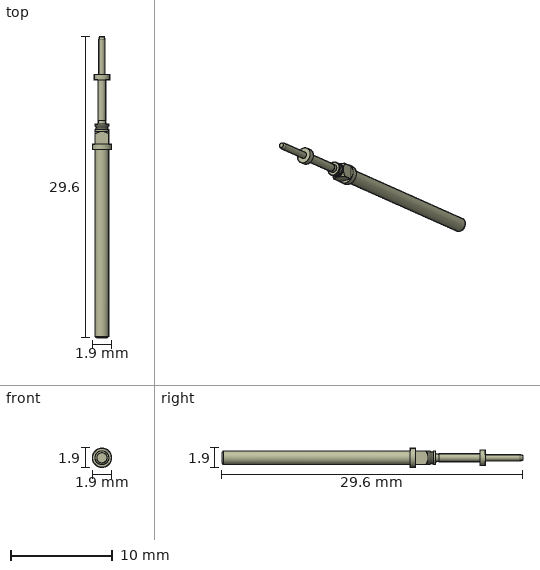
import cadquery as cq

TIP_DIAMETER = 0.64
COLLAR_DIAMETER = 1.55
SHANK_DIAMETER = 0.8
NECK_FRONT_DIAMETER = 0.73
BARREL_DIAMETER = 1.36
GROOVE_EDGE_DIAMETER = 1.26
GROOVE_MIDDLE_DIAMETER = 1.14
FLANGE_DIAMETER = 1.9
BARREL_END_DIAMETER = 1.0

OVERALL_LENGTH = 29.6

TIP_END = 11.1
BARREL_END = TIP_END - OVERALL_LENGTH
FLANGE_FRONT = 0.55
COLLAR_FRONT = 7.4
COLLAR_LENGTH = 0.55
SHANK_END = 2.85
RING_FRONT = 2.5
RING_LENGTH = 0.18
GROOVE_LENGTH = 0.36
LAND_LENGTH = 0.18
LAND_FRONT = RING_FRONT - RING_LENGTH - GROOVE_LENGTH

TIP_CHAMFER_LENGTH = 0.3
TIP_CHAMFER_DEPTH = 0.08
BARREL_CHAMFER_LENGTH = 0.15
WRENCH_CONE_LENGTH = 0.22

WRENCH_WIDTH = BARREL_DIAMETER
SURROUND_WIDTH = 2 * FLANGE_DIAMETER


def make_turned_body():
    """Revolve the stepped half outline about the Y axis."""
    tip_r = TIP_DIAMETER / 2
    collar_r = COLLAR_DIAMETER / 2
    shank_r = SHANK_DIAMETER / 2
    neck_front_r = NECK_FRONT_DIAMETER / 2
    barrel_r = BARREL_DIAMETER / 2
    groove_edge_r = GROOVE_EDGE_DIAMETER / 2
    groove_middle_r = GROOVE_MIDDLE_DIAMETER / 2
    flange_r = FLANGE_DIAMETER / 2
    barrel_end_r = BARREL_END_DIAMETER / 2

    collar_back = COLLAR_FRONT - COLLAR_LENGTH
    groove_front = RING_FRONT - RING_LENGTH
    groove_middle = groove_front - GROOVE_LENGTH / 2
    land_back = LAND_FRONT - LAND_LENGTH

    outline = (
        cq.Workplane("YZ")
        .moveTo(TIP_END, 0)
        .lineTo(TIP_END, tip_r - TIP_CHAMFER_DEPTH)
        .lineTo(TIP_END - TIP_CHAMFER_LENGTH, tip_r)
        .lineTo(COLLAR_FRONT, tip_r)
        .lineTo(COLLAR_FRONT, collar_r)
        .lineTo(collar_back, collar_r)
        .lineTo(collar_back, shank_r)
        .lineTo(SHANK_END, shank_r)
        .lineTo(SHANK_END, neck_front_r)
        .lineTo(RING_FRONT, shank_r)
        .lineTo(RING_FRONT, barrel_r)
        .lineTo(groove_front, barrel_r)
        .lineTo(groove_front, groove_edge_r)
        .lineTo(groove_middle, groove_middle_r)
        .lineTo(LAND_FRONT, groove_edge_r)
        .lineTo(LAND_FRONT, barrel_r)
        .lineTo(land_back, barrel_r)
        .lineTo(land_back - WRENCH_CONE_LENGTH, flange_r)
        .lineTo(0, flange_r)
        .lineTo(0, barrel_r)
        .lineTo(BARREL_END + BARREL_CHAMFER_LENGTH, barrel_r)
        .lineTo(BARREL_END, barrel_end_r)
        .lineTo(BARREL_END, 0)
        .close()
    )
    return outline.revolve(360, (0, 0, 0), (1, 0, 0))


def cut_wrench_flats(body):
    """Square the section in front of the flange with four flats."""
    length = LAND_FRONT - FLANGE_FRONT
    middle = FLANGE_FRONT + length / 2
    surround = cq.Workplane("XY").box(SURROUND_WIDTH, length, SURROUND_WIDTH)
    square = cq.Workplane("XY").box(WRENCH_WIDTH, length, WRENCH_WIDTH)
    return body.cut(surround.cut(square).translate((0, middle, 0)))


result = cut_wrench_flats(make_turned_body())